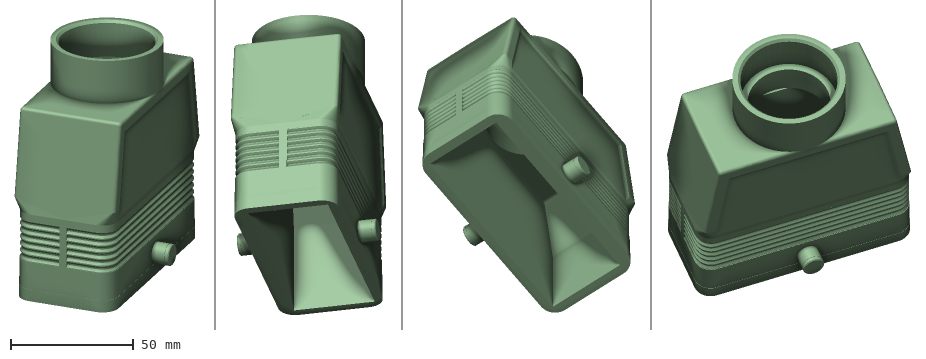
import cadquery as cq


lip_length = 93.5
lip_half_x = 21.8
lip_half_y = lip_length / 2
lip_height = 5.2
lip_step = 0.1
body_half_x = 21.4
body_half_y = 46.4
body_top_z = 38.2
corner_radius = 7.0
body_top_size = (body_half_x, body_half_y, corner_radius)

grip_bottom_z = 17.2
grip_top_z = 35.1
grip_depth = 0.8
rib_count = 5
rib_base = 2.4
rib_crest = 0.5
end_bar_width = 3.2

hull_half_x = 22.5
hull_corner_z = 44.1
hull_top_z = 81.4
hull_top_half_y = 39.0
end_crown = 0.2
edge_radius = 1.5

panel_margin = 5.0
panel_depth = 0.75
panel_upper_slope_width = 0.9
panel_upper_slope_depth = 0.5
panel_wall_width = 1.7

collar_radius = 23.2
collar_top_z = 100.2
socket_radius = 19.8
socket_floor_z = 84.4
socket_chamfer = 1.0
bore_radius = 16.9

pin_span = 58.0
pin_diameter = 9.1
pin_radius = pin_diameter / 2
pin_z = 9.5
pin_chamfer = 0.4
pin_groove_offset = 1.5
pin_groove_width = 0.3
pin_groove_depth = 0.2

cavity_min_x = -17.9
cavity_max_x = 15.9
cavity_top_z = 72.2
end_wall = 3.8
cavity_half_y = body_half_y - end_wall

hull_slope = (body_half_y - hull_top_half_y) / (hull_top_z - body_top_z)


def hull_half_y(z):
    """Half length of the hull along its crown at height z."""
    return body_half_y - hull_slope * (z - body_top_z)


def rounded_section(z, half_x, half_y, radius):
    """Horizontal rounded rectangle at height z, centred on the Z axis."""
    sketch = cq.Sketch().rect(2 * half_x, 2 * half_y).vertices().fillet(radius)
    return sketch.moved(cq.Location(cq.Vector(0, 0, z)))


def rounded_block(bottom_z, height, size):
    """Upright block; size is (half_x, half_y, radius)."""
    return cq.Workplane("XY").placeSketch(rounded_section(bottom_z, *size)).extrude(height)


def rounded_loft(bottom_z, bottom_size, top_z, top_size):
    """Straight-sided solid between two rounded rectangles of different size."""
    bottom = rounded_section(bottom_z, *bottom_size)
    top = rounded_section(top_z, *top_size)
    return cq.Workplane("XY").placeSketch(bottom, top).loft(ruled=True)


def crowned_outline(z):
    """Closed hull outline at height z with a ridge at x = 0 on each end."""
    ridge_y = hull_half_y(z)
    side_y = ridge_y - end_crown
    points = [
        (0, ridge_y), (hull_half_x, side_y), (hull_half_x, -side_y),
        (0, -ridge_y), (-hull_half_x, -side_y), (-hull_half_x, side_y),
    ]
    return cq.Wire.makePolygon([cq.Vector(x, y, z) for x, y in points], close=True)


def crowned_block(bottom_z, top_z):
    """Slice of the tapered hull between two heights."""
    outlines = [crowned_outline(bottom_z), crowned_outline(top_z)]
    return cq.Workplane(cq.Solid.makeLoft(outlines, True))


def make_lower_body():
    """Straight rim lip with the drafted body standing on it."""
    lip = rounded_block(0, lip_height, (lip_half_x, lip_half_y, corner_radius))
    foot_size = (lip_half_x - lip_step, lip_half_y - lip_step, corner_radius)
    return lip.union(rounded_loft(lip_height, foot_size, body_top_z, body_top_size))


def add_grip(body):
    """Body with the grip zone replaced by a core, ribs and plain end bars."""
    height = grip_top_z - grip_bottom_z
    pitch = height / (rib_count + 1)
    core_size = (body_half_x - grip_depth, body_half_y - grip_depth, corner_radius - grip_depth)
    zone = (
        cq.Workplane("XY").workplane(offset=grip_bottom_z)
        .rect(3 * lip_half_x, 3 * lip_half_y).extrude(height)
    )

    grip = rounded_block(grip_bottom_z, height, core_size)
    for index in range(rib_count + 2):
        rib_z = grip_bottom_z + index * pitch
        grip = grip.union(rounded_block(rib_z - rib_crest / 2, rib_crest, body_top_size))
        for side in (-1, 1):
            base_z = rib_z + side * rib_base / 2
            crest_z = rib_z + side * rib_crest / 2
            grip = grip.union(rounded_loft(base_z, core_size, crest_z, body_top_size))

    bar_slab = cq.Workplane("XY").box(end_bar_width, 3 * lip_half_y, 3 * body_top_z)
    bars = body.intersect(zone).intersect(bar_slab)
    return body.cut(zone).union(grip.intersect(zone)).union(bars)


def make_hull():
    """Tapered hull with all edges rounded except those of its bottom face."""
    hull = crowned_block(hull_corner_z, hull_top_z)
    return hull.faces("<X or >X or >Z").edges("not <Z").fillet(edge_radius)


def make_flare():
    """Transition from the rounded body to the sharper hull corners."""
    corner_y = hull_half_y(hull_corner_z) - end_crown
    corner_size = (hull_half_x, corner_y, edge_radius)
    flare = rounded_loft(body_top_z, body_top_size, hull_corner_z, corner_size)
    tip_x = hull_half_x - edge_radius
    wedge = (
        cq.Workplane("XZ")
        .polyline([(0, body_top_z), (tip_x, hull_corner_z), (-tip_x, hull_corner_z)])
        .close()
        .extrude(2 * body_half_y, both=True)
    )
    return flare.union(crowned_block(body_top_z, hull_corner_z).intersect(wedge))


def panel_outline(x, inset):
    """Trapezoid at plane x, inset from the rim of the panel."""
    top_z = hull_top_z - panel_margin - inset
    bottom_z = body_top_z
    top_y = hull_half_y(top_z) - panel_margin - inset
    bottom_y = hull_half_y(bottom_z) - panel_margin - inset
    points = [(-bottom_y, bottom_z), (bottom_y, bottom_z), (top_y, top_z), (-top_y, top_z)]
    return cq.Wire.makePolygon([cq.Vector(x, y, z) for y, z in points], close=True)


def make_panel_cutter():
    """Recess for the +X side with a wall of two slopes."""
    rim = panel_outline(hull_half_x, 0)
    bend = panel_outline(hull_half_x - panel_upper_slope_depth, panel_upper_slope_width)
    floor = panel_outline(hull_half_x - panel_depth, panel_wall_width)
    return cq.Workplane(cq.Solid.makeLoft([rim, bend, floor], True))


def make_pins():
    """One bar through the body, chamfered and grooved near both tips."""
    pins = (
        cq.Workplane("YZ").workplane(offset=-pin_span / 2).center(0, pin_z)
        .circle(pin_radius).extrude(pin_span)
        .faces("<X or >X").chamfer(pin_chamfer)
    )
    for side in (-1, 1):
        groove_x = side * (pin_span / 2 - pin_groove_offset - pin_groove_width / 2)
        groove = (
            cq.Workplane("YZ").workplane(offset=groove_x).center(0, pin_z)
            .circle(2 * pin_radius).circle(pin_radius - pin_groove_depth)
            .extrude(pin_groove_width / 2, both=True)
        )
        pins = pins.cut(groove)
    return pins


def make_cavity():
    """Hollow open at the rim, narrowing with the hull towards its roof."""
    top_y = hull_half_y(cavity_top_z) - end_wall
    profile = [
        (-cavity_half_y, 0), (cavity_half_y, 0), (cavity_half_y, body_top_z),
        (top_y, cavity_top_z), (-top_y, cavity_top_z), (-cavity_half_y, body_top_z),
    ]
    return (
        cq.Workplane("YZ").workplane(offset=cavity_min_x)
        .polyline(profile).close().extrude(cavity_max_x - cavity_min_x)
        .edges("|X and (not <Z)").fillet(edge_radius)
    )


def vertical_cylinder(radius, bottom_z, top_z):
    return cq.Workplane("XY").workplane(offset=bottom_z).circle(radius).extrude(top_z - bottom_z)


hood = add_grip(make_lower_body()).union(make_flare()).union(make_hull())

panel = make_panel_cutter()
hood = hood.cut(panel).cut(panel.mirror("YZ"))

collar = vertical_cylinder(collar_radius, hull_top_z, collar_top_z)
hood = hood.union(collar).union(make_pins())

bore = vertical_cylinder(bore_radius, cavity_top_z, socket_floor_z)
socket = vertical_cylinder(socket_radius, socket_floor_z, collar_top_z)
mouth = (
    cq.Workplane("XY").workplane(offset=collar_top_z)
    .circle(socket_radius + socket_chamfer).extrude(-socket_chamfer, taper=45)
)
result = hood.cut(make_cavity()).cut(bore).cut(socket).cut(mouth)